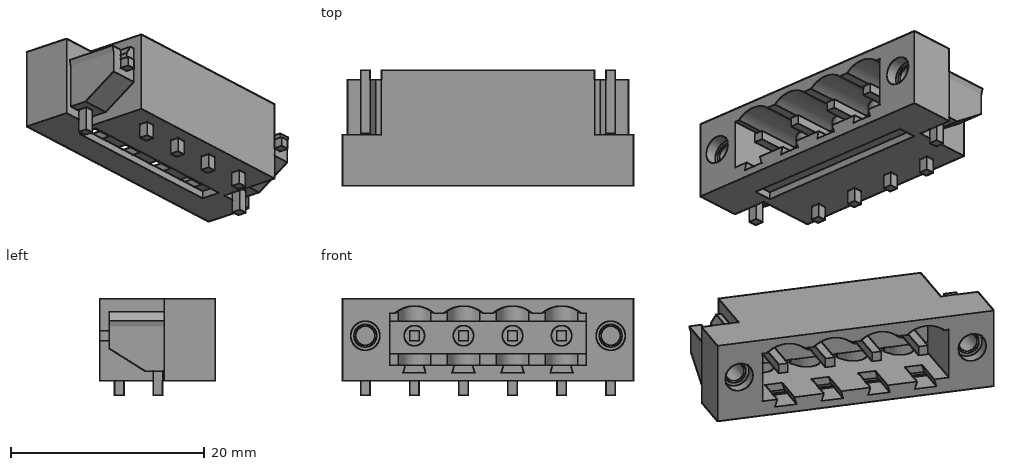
import cadquery as cq
import math


length = 30.12
depth = 12.0
height = 8.5
pole_count = 4
mount_span = 25.4
pin_size = 1.0
pin_axis_z = 4.67
leg_length = 1.5

middle_x = length / 2
pitch = mount_span / (pole_count + 1)
contact_xs = [middle_x + (i - (pole_count - 1) / 2) * pitch for i in range(pole_count)]
mount_x = middle_x - mount_span / 2
pin_bottom_z = pin_axis_z - pin_size / 2

flange_depth = 5.3
main_width = 22.05
main_left_x = middle_x - main_width / 2

cavity_width = 20.3
cavity_floor_z = 1.63
cavity_roof_z = 7.0
vault_radius = 3.07
band_front_y = 7.0
band_bottom_z = 2.8
band_top_z = 6.15
recess_back_y = 9.05

post_half_width = 1.7
nose_half_width = 1.2
flank_angle = math.radians(57.3)
post_crest_y = 7.23
nose_radius = nose_half_width / math.sin(flank_angle)
nose_end_y = post_crest_y + nose_radius * (1 - math.cos(flank_angle))
flank_end_y = nose_end_y + (post_half_width - nose_half_width) * math.tan(flank_angle)

pin_recess_radius = 1.05
pin_recess_depth = 0.3

groove_bottom_half = 1.17
groove_top_half = 0.93
groove_bottom_z = 0.8
groove_length = 4.07

relief_front_y = 3.13

wing_outer_x = 0.5
wing_back_y = 11.0
wing_bottom_z = 1.0
wing_heel_z = 3.35
wing_heel_y = 7.25
wing_outer_top_z = 6.23
wing_inner_top_z = 7.17
lip_bottom_z = 5.6
lip_overhang = 0.18
lead_in_width = 0.6

insert_radius = 1.5
insert_front_y = 1.35
insert_back_y = 4.82
insert_bore_radius = 1.0
insert_mouth_radius = 1.17
insert_mouth_depth = 0.105

contact_front_y = 0.8
contact_back_y = 10.45
mount_pin_front_y = 5.45


def box(x0, x1, y0, y1, z0, z1):
    """Box between two opposite corners."""
    return cq.Workplane("XY").box(x1 - x0, y1 - y0, z1 - z0, centered=False).translate((x0, y0, z0))


def rod(x, z, radius, y0, y1):
    """Round rod along Y."""
    return cq.Workplane("XZ", origin=(x, y0, z)).circle(radius).extrude(y0 - y1)


def mirrored(body):
    """Copy of a body at the other end of the housing."""
    return body.mirror("YZ", (middle_x, 0, 0))


def cavity_section(y0, y1):
    """Cavity profile between two depths: a box whose roof is vaulted over each pole."""
    left_x = middle_x - cavity_width / 2
    right_x = middle_x + cavity_width / 2
    section = box(left_x, right_x, y0, y1, cavity_floor_z, cavity_roof_z)
    for x in contact_xs:
        vault = rod(x, pin_axis_z, vault_radius, y0, y1)
        above_roof = box(x - vault_radius, x + vault_radius, y0, y1, cavity_roof_z, height)
        section = section.union(vault.intersect(above_roof))
    return section


def post(x):
    """Upright post from the floor to the top of the housing."""
    return (
        cq.Workplane("XY")
        .moveTo(x - post_half_width, recess_back_y)
        .lineTo(x - post_half_width, flank_end_y)
        .lineTo(x - nose_half_width, nose_end_y)
        .threePointArc((x, post_crest_y), (x + nose_half_width, nose_end_y))
        .lineTo(x + post_half_width, flank_end_y)
        .lineTo(x + post_half_width, recess_back_y)
        .close()
        .extrude(height)
    )


def cavity():
    """Mating cavity with the recesses above and below the band."""
    recess = cavity_section(band_front_y, recess_back_y)
    left_x = middle_x - cavity_width / 2
    right_x = middle_x + cavity_width / 2
    recess = recess.cut(box(left_x, right_x, band_front_y, recess_back_y, band_bottom_z, band_top_z))
    for x in contact_xs:
        recess = recess.cut(post(x))
    return cavity_section(0, band_front_y).union(recess)


def coding_groove(x):
    """Dovetail groove, open at the mating face and to the cavity."""
    profile = [
        (x - groove_bottom_half, groove_bottom_z),
        (x + groove_bottom_half, groove_bottom_z),
        (x + groove_top_half, cavity_floor_z),
        (x - groove_top_half, cavity_floor_z),
    ]
    return cq.Workplane("XZ").polyline(profile).close().extrude(-groove_length)


def relief():
    """Shallow pocket in the underside, as wide as the cavity."""
    left_x = middle_x - cavity_width / 2
    right_x = middle_x + cavity_width / 2
    return box(left_x, right_x, relief_front_y, flange_depth, 0, groove_bottom_z)


def wing():
    """Left wing: undercut lip outside, lead-in to the slot inside, sloping heel."""
    slot_left_x = mount_x - pin_size / 2
    slot_right_x = mount_x + pin_size / 2
    profile = [
        (wing_outer_x + lip_overhang, wing_bottom_z),
        (main_left_x, wing_bottom_z),
        (main_left_x, wing_inner_top_z),
        (slot_right_x + lead_in_width, wing_inner_top_z),
        (slot_right_x, wing_outer_top_z),
        (slot_right_x, pin_bottom_z),
        (slot_left_x, pin_bottom_z),
        (slot_left_x, wing_outer_top_z),
        (wing_outer_x, wing_outer_top_z),
        (wing_outer_x + lip_overhang, lip_bottom_z),
    ]
    body = cq.Workplane("XZ", origin=(0, flange_depth, 0)).polyline(profile).close()
    body = body.extrude(flange_depth - wing_back_y)
    heel = [
        (wing_heel_y, wing_bottom_z),
        (wing_back_y, wing_bottom_z),
        (wing_back_y, wing_heel_z),
    ]
    return body.cut(cq.Workplane("YZ").polyline(heel).close().extrude(main_left_x))


def make_contact(x):
    """L-shaped contact: a pin through the band and a solder leg at the back."""
    left_x = x - pin_size / 2
    right_x = x + pin_size / 2
    pin = box(left_x, right_x, contact_front_y, contact_back_y, pin_bottom_z, pin_bottom_z + pin_size)
    leg = box(left_x, right_x, contact_back_y - pin_size, contact_back_y, -leg_length, pin_bottom_z)
    return pin.union(leg)


def make_mount_pin():
    """Left mounting pin: a bar lying in the wing slot and a solder leg behind the flange."""
    left_x = mount_x - pin_size / 2
    right_x = mount_x + pin_size / 2
    bar = box(left_x, right_x, mount_pin_front_y, depth, pin_bottom_z, pin_bottom_z + pin_size)
    leg = box(left_x, right_x, mount_pin_front_y, mount_pin_front_y + pin_size, -leg_length, pin_bottom_z)
    return bar.union(leg)


def make_insert():
    """Left threaded insert: a sleeve whose bore has a shallow conical mouth."""
    sleeve = [
        (insert_mouth_radius, insert_front_y),
        (insert_radius, insert_front_y),
        (insert_radius, insert_back_y),
        (insert_bore_radius, insert_back_y),
        (insert_bore_radius, insert_front_y + insert_mouth_depth),
    ]
    insert = cq.Workplane("XY").polyline(sleeve).close().revolve(360, (0, 0), (0, 1))
    return insert.translate((mount_x, 0, pin_axis_z))


def make_housing(contacts, mount_pins):
    """Flange and main block with wings, cavity, and holes for the other bodies."""
    main_right_x = main_left_x + main_width
    housing = box(0, length, 0, flange_depth, 0, height)
    housing = housing.union(box(main_left_x, main_right_x, 0, depth, 0, height))
    left_wing = wing()
    housing = housing.union(left_wing).union(mirrored(left_wing))

    housing = housing.cut(cavity())
    housing = housing.cut(relief())
    for x in contact_xs:
        housing = housing.cut(coding_groove(x))
        pin_recess = rod(x, pin_axis_z, pin_recess_radius, band_front_y, band_front_y + pin_recess_depth)
        housing = housing.cut(pin_recess)

    insert_hole = rod(mount_x, pin_axis_z, insert_radius, 0, insert_back_y)
    housing = housing.cut(insert_hole).cut(mirrored(insert_hole))
    for pin in contacts + mount_pins:
        housing = housing.cut(pin)
    return housing


contacts = [make_contact(x) for x in contact_xs]
left_mount_pin = make_mount_pin()
mount_pins = [left_mount_pin, mirrored(left_mount_pin)]
left_insert = make_insert()
inserts = [left_insert, mirrored(left_insert)]
housing = make_housing(contacts, mount_pins)

bodies = [housing] + contacts + mount_pins + inserts
result = cq.Compound.makeCompound([body.val() for body in bodies])